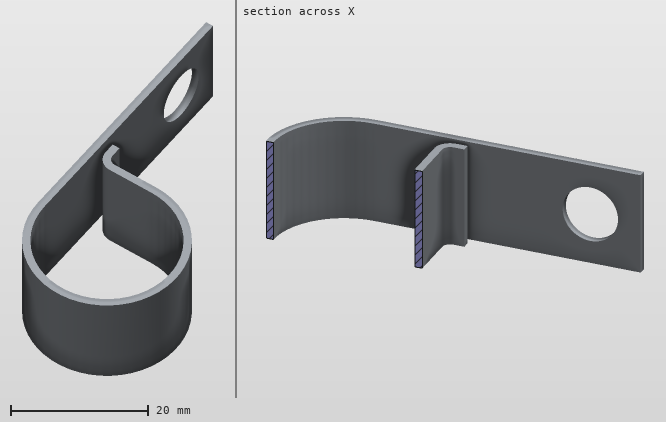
import cadquery as cq
import math

thickness = 1.2192
width = 15.875
loop_diameter = 22.225
leg_length = 42.04
hole_diameter = 8.73
hole_from_end = width / 2
lip_gap = 1.22
lip_height = 2.95
lip_inner_radius = 1.22

inner_radius = loop_diameter / 2
outer_radius = inner_radius + thickness
lip_outer_radius = lip_inner_radius + thickness
leg_inner_x = -inner_radius
leg_outer_x = -outer_radius
lip_left_x = leg_inner_x + lip_gap
lip_right_x = lip_left_x + thickness
lip_end_y = outer_radius + lip_height
bend_x = lip_left_x + lip_outer_radius
bend_y = inner_radius + lip_outer_radius
diagonal = math.sqrt(0.5)


def make_strip():
    """Bent strip: leg, three-quarter loop, flat tangent run and upturned lip."""
    return (
        cq.Workplane("XY")
        .moveTo(leg_outer_x, leg_length)
        .lineTo(leg_outer_x, 0)
        .threePointArc((outer_radius * diagonal, -outer_radius * diagonal), (0, outer_radius))
        .lineTo(bend_x, outer_radius)
        .threePointArc(
            (bend_x - lip_inner_radius * diagonal, bend_y - lip_inner_radius * diagonal),
            (lip_right_x, bend_y),
        )
        .lineTo(lip_right_x, lip_end_y)
        .lineTo(lip_left_x, lip_end_y)
        .lineTo(lip_left_x, bend_y)
        .threePointArc(
            (bend_x - lip_outer_radius * diagonal, bend_y - lip_outer_radius * diagonal),
            (bend_x, inner_radius),
        )
        .lineTo(0, inner_radius)
        .threePointArc((inner_radius * diagonal, -inner_radius * diagonal), (leg_inner_x, 0))
        .lineTo(leg_inner_x, leg_length)
        .close()
        .extrude(width / 2, both=True)
    )


def make_hole_cutter():
    """Cylinder along X that passes through the leg only."""
    return (
        cq.Workplane("YZ", origin=(leg_outer_x, 0, 0))
        .center(leg_length - hole_from_end, 0)
        .circle(hole_diameter / 2)
        .extrude(thickness)
    )


result = make_strip().cut(make_hole_cutter())